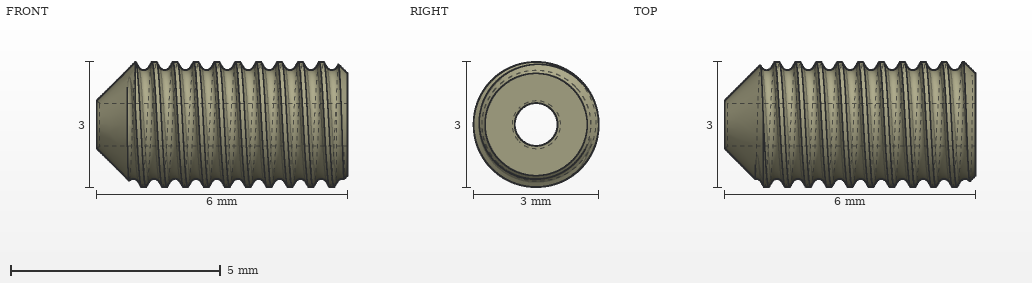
import cadquery as cq
import math

length = 6.0
outer_radius = 1.5
tip_radius = 0.575
bore_radius = 0.51
tail_chamfer = 0.275

turns_per_length = 12
pitch = length / turns_per_length
crest_width = 0.11
flank_angle = math.radians(30)
root_arc_radius = 0.145
groove_start = -0.125
groove_turns = turns_per_length + 1
cutter_overshoot = 0.03
bar_allowance = 0.9


def make_blank():
    """Turned blank with nose cone, tail chamfer, through bore and tip countersink."""
    nose_length = outer_radius - tip_radius
    countersink = tip_radius - bore_radius
    return (
        cq.Workplane("XY")
        .moveTo(0, tip_radius)
        .lineTo(nose_length, outer_radius)
        .lineTo(length - tail_chamfer, outer_radius)
        .lineTo(length, outer_radius - tail_chamfer)
        .lineTo(length, bore_radius)
        .lineTo(countersink, bore_radius)
        .close()
        .revolve(360, (0, 0, 0), (1, 0, 0))
    )


def make_groove_cutter():
    """Helical thread groove, swept about Z and then laid along X."""
    half_top = (pitch - crest_width) / 2 + cutter_overshoot * math.tan(flank_angle)
    top_radius = outer_radius + cutter_overshoot
    half_root = root_arc_radius * math.cos(flank_angle)
    flank_end_radius = top_radius - (half_top - half_root) / math.tan(flank_angle)
    root_radius = flank_end_radius - root_arc_radius * (1 - math.sin(flank_angle))

    helix = cq.Wire.makeHelix(pitch, groove_turns * pitch, outer_radius)
    cutter = (
        cq.Workplane("XZ")
        .moveTo(top_radius, -half_top)
        .lineTo(flank_end_radius, -half_root)
        .threePointArc((root_radius, 0), (flank_end_radius, half_root))
        .lineTo(top_radius, half_top)
        .close()
        .sweep(cq.Workplane(helix), isFrenet=True)
    )
    return cutter.rotate((0, 0, 0), (0, 1, 0), 90).translate((groove_start, 0, 0))


def make_threaded_bar():
    """Bar threaded over its full helix, longer than the screw at both ends."""
    bar = cq.Workplane("YZ").workplane(offset=-bar_allowance).circle(outer_radius)
    return bar.extrude(length + 2 * bar_allowance).cut(make_groove_cutter())


result = make_threaded_bar().intersect(make_blank())